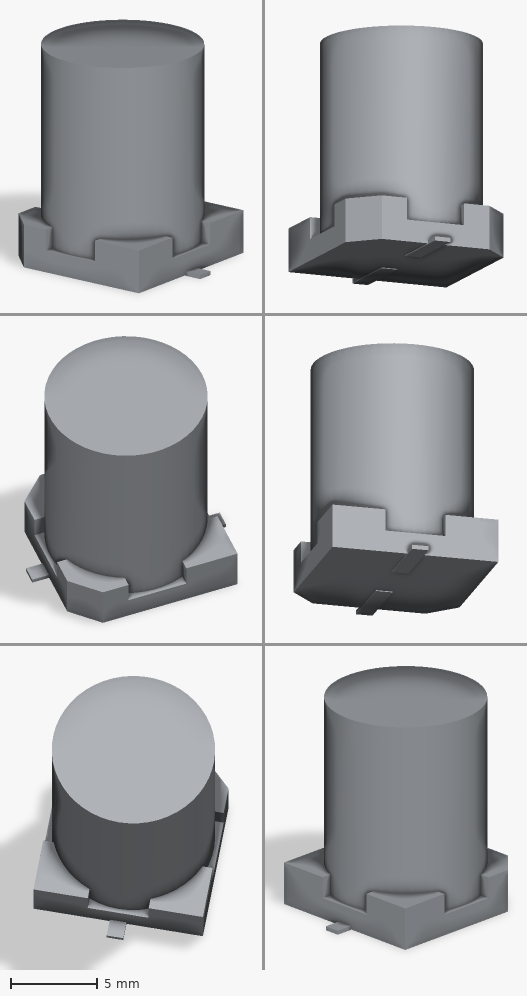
import cadquery as cq

lead_span = 12.09
total_height = 13.06

base_side = 10.01
base_height = 2.6
base_standoff = 0.05
corner_chamfer = 1.6
notch_width = 3.6
notch_depth = base_height / 2
base_top = base_standoff + base_height
seat_z = base_top - notch_depth

can_diameter = 9.5
can_height = total_height - seat_z

lead_length = 4.31
lead_width = 0.98
lead_thickness = 0.25
lead_center_x = (lead_span - lead_length) / 2


def make_can():
    return cq.Workplane("XY", origin=(0, 0, seat_z)).circle(can_diameter / 2).extrude(can_height)


def make_lead(side):
    """Flat lead pointing toward +X (side = 1) or -X (side = -1)."""
    return (
        cq.Workplane("XY")
        .center(side * lead_center_x, 0)
        .rect(lead_length, lead_width)
        .extrude(lead_thickness)
    )


def make_base(can, leads):
    base = cq.Workplane("XY", origin=(0, 0, base_standoff)).rect(base_side, base_side).extrude(base_height)

    base = base.edges("|Z and <X").chamfer(corner_chamfer)

    seat = cq.Workplane("XY", origin=(0, 0, seat_z))
    base = base.cut(seat.rect(base_side, notch_width).extrude(notch_depth))
    base = base.cut(seat.rect(notch_width, base_side).extrude(notch_depth))

    base = base.cut(can)
    for lead in leads:
        base = base.cut(lead)
    return base


can = make_can()
leads = [make_lead(side) for side in (-1, 1)]
base = make_base(can, leads)

result = cq.Compound.makeCompound([base.solids().val(), can.val(), *[lead.val() for lead in leads]])